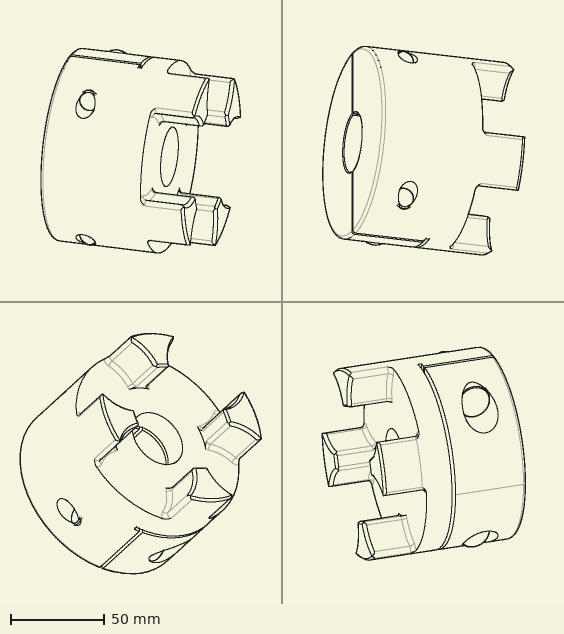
import cadquery as cq
import math

outer_radius = 52.0
overall_length = 80.5
floor_x = 56.4
end_fillet = 1.6
bore_radius = 16.0
bore_chamfer = 0.6

jaw_count = 4
pocket_pitch_radius = 40.0
pocket_radius = 23.5
first_pocket_angle = 67.5
core_radius = 31.2
jaw_edge_fillet = 2.1
jaw_root_fillet = 2.3
rim_bevel_length = 1.6
rim_bevel_depth = 1.0
flank_bevel_length = 2.0
flank_bevel_depth = 1.4

slit_width = 2.0
cross_slot_x = 40.0
cross_slot_bottom_y = -4.3

screw_x = 20.0
screw_offset_z = 39.0
shank_radius = 6.0
shank_end_y = -28.0
shank_chamfer = 0.7
head_radius = 9.0
head_seat_y = 12.0
head_end_y = 24.0
head_edge = 0.5
counterbore_radius = 9.5
tap_hole_radius = 5.1


def cylinder_x(radius, start, end):
    return cq.Workplane("YZ", origin=(start, 0, 0)).circle(radius).extrude(end - start)


def cylinder_y(radius, start, end, z):
    plane = cq.Plane(origin=(screw_x, start, z), xDir=(1, 0, 0), normal=(0, 1, 0))
    return cq.Workplane(plane).circle(radius).extrude(end - start)


def cone_x(start_radius, end_radius, start, end):
    taper = math.degrees(math.atan2(start_radius - end_radius, end - start))
    return cq.Workplane("YZ", origin=(start, 0, 0)).circle(start_radius).extrude(end - start, taper=taper)


def at_pockets(tool):
    """Copies of a tool standing on the +Y axis, turned to every pocket position."""
    placed = tool.translate((0, pocket_pitch_radius, 0))
    step = 360 / jaw_count
    return [placed.rotate((0, 0, 0), (1, 0, 0), first_pocket_angle + i * step) for i in range(jaw_count)]


def make_jaw_columns():
    """Straight jaws with rounded long edges, one solid each."""
    columns = cylinder_x(outer_radius, floor_x, overall_length)
    columns = columns.cut(cylinder_x(core_radius, floor_x, overall_length))
    for pocket in at_pockets(cylinder_x(pocket_radius, floor_x, overall_length)):
        columns = columns.cut(pocket)
    return columns.edges("|X").fillet(jaw_edge_fillet)


def bevel_tips(jaws):
    """Bevel the outer, inner and flank edges at the free ends of the jaws."""
    rim_start = overall_length - rim_bevel_length
    rim = cylinder_x(outer_radius + rim_bevel_depth, rim_start, overall_length)
    rim = rim.cut(cone_x(outer_radius, outer_radius - rim_bevel_depth, rim_start, overall_length))
    jaws = jaws.cut(rim)
    jaws = jaws.cut(cone_x(core_radius, core_radius + rim_bevel_depth, rim_start, overall_length))
    flank_start = overall_length - flank_bevel_length
    mouth = cone_x(pocket_radius, pocket_radius + flank_bevel_depth, flank_start, overall_length)
    for placed_mouth in at_pockets(mouth):
        jaws = jaws.cut(placed_mouth)
    return jaws


def make_jaws():
    """Jaws with blended flank roots, on a plate that forms the pocket floor.

    The plate is wider than the hub so that each root blend is one closed loop; trimming to the
    outer and core radii then leaves the blend on the flanks only.
    """
    plate = cylinder_x(outer_radius + 2 * jaw_root_fillet, floor_x - jaw_root_fillet, floor_x)
    jaws = plate.union(make_jaw_columns())
    root_zone = cq.selectors.BoxSelector(
        (floor_x - 0.1, -outer_radius - 1, -outer_radius - 1),
        (floor_x + 0.1, outer_radius + 1, outer_radius + 1),
        boundingbox=True,
    )
    jaws = jaws.edges(root_zone).fillet(jaw_root_fillet)
    jaws = jaws.cut(cylinder_x(core_radius, floor_x, overall_length))
    jaws = jaws.intersect(cylinder_x(outer_radius, 0, overall_length))
    return bevel_tips(jaws)


def make_blank():
    """Whole hub before it is split, with its bore."""
    drum = cylinder_x(outer_radius, 0, floor_x).faces("<X").edges().fillet(end_fillet)
    blank = drum.union(make_jaws())
    blank = blank.cut(cylinder_x(bore_radius, 0, overall_length))
    bore_edge = cq.selectors.RadiusNthSelector(0)
    return blank.faces("<X").edges("%CIRCLE").edges(bore_edge).chamfer(bore_chamfer)


def make_clamp_space():
    """Block that holds the clamp half, bounded by the slit and the cross slot."""
    return (
        cq.Workplane("XY")
        .box(cross_slot_x, outer_radius, 2 * outer_radius, centered=(False, False, True))
        .translate((0, slit_width / 2, 0))
    )


def make_slit():
    """Lengthwise gap between the hub and the clamp half."""
    length = cross_slot_x + slit_width
    return cq.Workplane("XY").box(length, slit_width, 2 * outer_radius, centered=(False, True, True))


def make_cross_slot():
    """Crosswise gap behind the clamp half."""
    depth = outer_radius - cross_slot_bottom_y
    return (
        cq.Workplane("XY")
        .box(slit_width, depth, 2 * outer_radius, centered=(False, False, True))
        .translate((cross_slot_x, cross_slot_bottom_y, 0))
    )


def make_shank(z):
    shank = cylinder_y(shank_radius, shank_end_y, head_seat_y, z)
    return shank.faces("<Y").chamfer(shank_chamfer)


def make_screw(z):
    head = cylinder_y(head_radius, head_seat_y, head_end_y, z).faces(">Y").chamfer(head_edge)
    return make_shank(z).union(head)


def make_screw_hole(z):
    """Hole that fits the shank, with a counterbore for the head and a tap hole beyond the end."""
    hole = make_shank(z)
    hole = hole.union(cylinder_y(counterbore_radius, head_seat_y, outer_radius, z))
    return hole.union(cylinder_y(tap_hole_radius, -outer_radius, shank_end_y, z))


screw_heights = (-screw_offset_z, screw_offset_z)

blank = make_blank()
for height in screw_heights:
    blank = blank.cut(make_screw_hole(height))

clamp_space = make_clamp_space()
clamp = blank.intersect(clamp_space)
hub = blank.cut(clamp_space).cut(make_slit()).cut(make_cross_slot())
screws = [make_screw(height) for height in screw_heights]

result = cq.Compound.makeCompound([hub.val(), clamp.val(), *[screw.val() for screw in screws]])